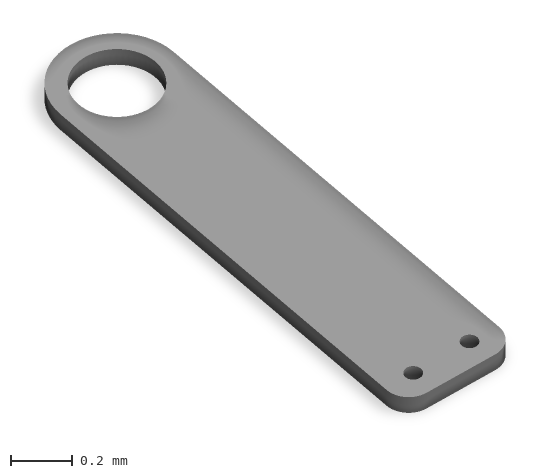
import cadquery as cq

length = 2.0
width = 0.47
thickness = 0.07

end_radius = width / 2
corner_radius = 0.092
large_hole_diameter = 0.32
small_hole_diameter = 0.065
small_hole_end_distance = 0.1
small_hole_spacing = width / 2

square_end_x = length - end_radius
small_hole_x = square_end_x - small_hole_end_distance


def make_plate():
    """Flat strip with a full round at -X and rounded corners at +X."""
    strip = (
        cq.Workplane("XY")
        .moveTo(0, -end_radius)
        .lineTo(square_end_x, -end_radius)
        .lineTo(square_end_x, end_radius)
        .lineTo(0, end_radius)
        .threePointArc((-end_radius, 0), (0, -end_radius))
        .close()
        .extrude(thickness)
    )
    return strip.edges("|Z and >X").fillet(corner_radius)


def make_hole(x, y, diameter):
    """Cylinder that cuts through the full plate thickness."""
    return cq.Workplane("XY").center(x, y).circle(diameter / 2).extrude(thickness)


result = make_plate().cut(make_hole(0, 0, large_hole_diameter))
for side in (-1, 1):
    hole_y = side * small_hole_spacing / 2
    result = result.cut(make_hole(small_hole_x, hole_y, small_hole_diameter))